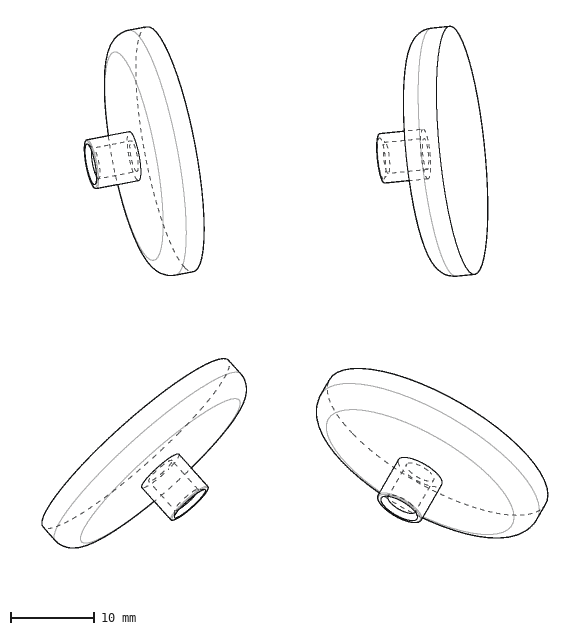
import cadquery as cq

disc_diameter = 30.0
disc_thickness = 4.5
disc_edge_radius = disc_thickness / 2

total_depth = 9.9
stud_length = total_depth - disc_thickness
stud_diameter = 6.0
stud_edge_radius = 0.12

bore_diameter = 3.75
countersink_diameter = 4.98
countersink_depth = (countersink_diameter - bore_diameter) / 2


def make_disc():
    """Round disc reaching toward -Y, with its front rim rounded over."""
    disc = cq.Workplane("XZ").circle(disc_diameter / 2).extrude(disc_thickness)
    return disc.faces("<Y").edges().fillet(disc_edge_radius)


def make_stud():
    """Open tube on the front face of the disc, countersunk and rounded at its tip."""
    tube = (
        cq.Workplane("XZ", origin=(0, -disc_thickness, 0))
        .circle(stud_diameter / 2)
        .circle(bore_diameter / 2)
        .extrude(stud_length)
    )
    at_bore = cq.selectors.RadiusNthSelector(0)
    at_rim = cq.selectors.RadiusNthSelector(-1)
    tube = tube.faces("<Y").edges(at_bore).chamfer(countersink_depth)
    return tube.faces("<Y").edges(at_rim).fillet(stud_edge_radius)


disc = make_disc()
stud = make_stud()

result = cq.Compound.makeCompound([disc.val(), stud.val()])